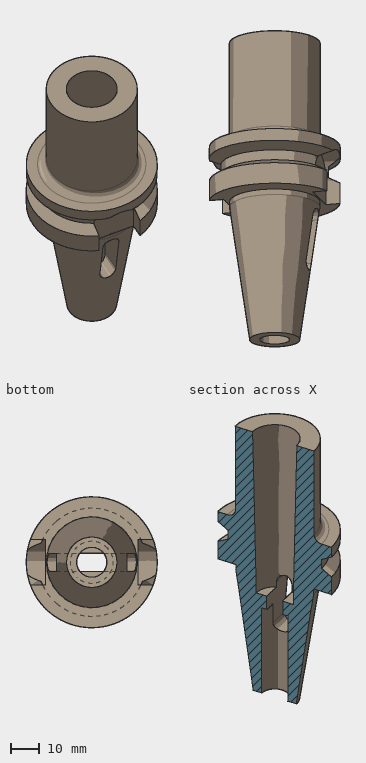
import cadquery as cq
import math


gauge_diameter = 31.75
shank_length = 48.4
shank_taper = 7 / 24
gauge_radius = gauge_diameter / 2
shank_end_radius = gauge_radius - shank_length * shank_taper / 2

flange_radius = 46 / 2
flange_bottom_z = 2
flange_top_z = 22
groove_floor_radius = 38 / 2
groove_center_z = 13.6
groove_floor_width = 3.6
groove_flank_angle = 30
groove_depth = flange_radius - groove_floor_radius
groove_flank_height = groove_depth * math.tan(math.radians(groove_flank_angle))

body_radius = 32 / 2
body_top_z = 60
body_fillet_radius = 3

key_slot_width = 16.1
key_slot_floor_x = 16.3
key_slot_top_z = 19
key_slot_radius = key_slot_width / 2

bore_mouth_radius = 17.78 / 2
bore_end_radius = 14.8 / 2
bore_depth = 67

ejector_slot_width = 6.3
ejector_slot_top_z = -1.75
ejector_slot_length = 22
ejector_slot_center_z = ejector_slot_top_z - ejector_slot_length / 2
stud_hole_diameter = 10.5


def outer_body():
    """Shank, grooved flange and filleted socket body as one revolved profile."""
    floor_bottom_z = groove_center_z - groove_floor_width / 2
    floor_top_z = groove_center_z + groove_floor_width / 2
    fillet_middle = body_fillet_radius * (1 - math.sqrt(0.5))
    profile = (
        cq.Workplane("XZ")
        .moveTo(0, -shank_length)
        .lineTo(shank_end_radius, -shank_length)
        .lineTo(gauge_radius, 0)
        .lineTo(gauge_radius, flange_bottom_z)
        .lineTo(flange_radius, flange_bottom_z)
        .lineTo(flange_radius, floor_bottom_z - groove_flank_height)
        .lineTo(groove_floor_radius, floor_bottom_z)
        .lineTo(groove_floor_radius, floor_top_z)
        .lineTo(flange_radius, floor_top_z + groove_flank_height)
        .lineTo(flange_radius, flange_top_z)
        .lineTo(body_radius + body_fillet_radius, flange_top_z)
        .threePointArc(
            (body_radius + fillet_middle, flange_top_z + fillet_middle),
            (body_radius, flange_top_z + body_fillet_radius),
        )
        .lineTo(body_radius, body_top_z)
        .lineTo(0, body_top_z)
        .close()
    )
    return profile.revolve(360, (0, 0, 0), (0, 1, 0))


def key_slot(side):
    """Round-topped key slot cutter on the +X (side = 1) or -X (side = -1) side."""
    arc_center_z = key_slot_top_z - key_slot_radius
    return (
        cq.Workplane("YZ", origin=(side * key_slot_floor_x, 0, 0))
        .moveTo(-key_slot_radius, flange_bottom_z)
        .lineTo(key_slot_radius, flange_bottom_z)
        .lineTo(key_slot_radius, arc_center_z)
        .threePointArc((0, key_slot_top_z), (-key_slot_radius, arc_center_z))
        .close()
        .extrude(side * flange_radius)
    )


def morse_bore():
    """Tapered socket bore with a flat floor."""
    profile = (
        cq.Workplane("XZ")
        .moveTo(0, body_top_z)
        .lineTo(bore_mouth_radius, body_top_z)
        .lineTo(bore_end_radius, body_top_z - bore_depth)
        .lineTo(0, body_top_z - bore_depth)
        .close()
    )
    return profile.revolve(360, (0, 0, 0), (0, 1, 0))


def ejector_slot():
    """Round-ended slot through the shank along X."""
    return (
        cq.Workplane("YZ")
        .center(0, ejector_slot_center_z)
        .slot2D(ejector_slot_length, ejector_slot_width, 90)
        .extrude(gauge_radius, both=True)
    )


def stud_hole():
    """Hole from the shank end up into the ejector slot."""
    return (
        cq.Workplane("XY", origin=(0, 0, -shank_length))
        .circle(stud_hole_diameter / 2)
        .extrude(shank_length + ejector_slot_center_z)
    )


result = outer_body()
for side in (-1, 1):
    result = result.cut(key_slot(side))
result = result.cut(morse_bore()).cut(ejector_slot()).cut(stud_hole())